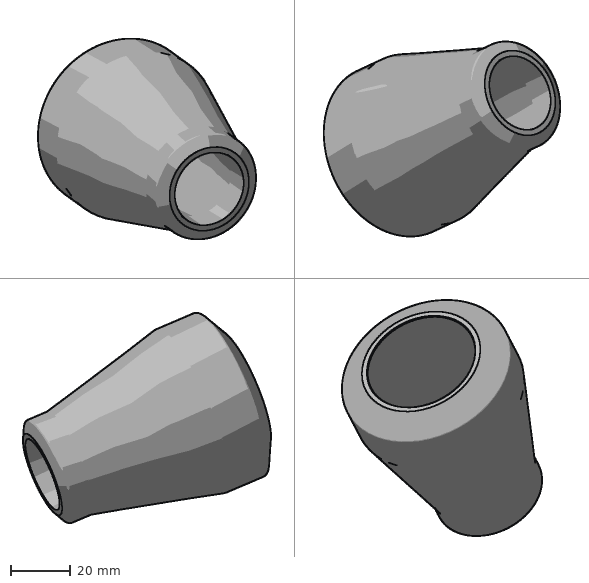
import cadquery as cq
import math

length = 76.0
large_end_length = 20.0
bore_taper_start = 12.2
small_end_length = 10.0
taper_end = length - small_end_length

large_radius = 60.3 / 2
small_radius = 38.0 / 2
large_bore_radius = 38.3 / 2
small_bore_radius = 26.0 / 2

land_width = 2.0
bevel_angle = math.radians(30)

edge_radius = 1.0

mouth_chamfer_depth = 0.4
mouth_chamfer_width = 0.2


def bevel_length(outer_radius, bore_radius):
    """Axial length of the bevel from the land to the outer cylinder."""
    return (outer_radius - bore_radius - land_width) * math.tan(bevel_angle)


def outer_body():
    """Solid reducer with a bevel at each end and rounded edges."""
    large_bevel = bevel_length(large_radius, large_bore_radius)
    small_bevel = bevel_length(small_radius, small_bore_radius)
    profile = (
        cq.Workplane("XY")
        .lineTo(0, large_bore_radius + land_width)
        .lineTo(large_bevel, large_radius)
        .lineTo(large_end_length, large_radius)
        .lineTo(taper_end, small_radius)
        .lineTo(length - small_bevel, small_radius)
        .lineTo(length, small_bore_radius + land_width)
        .lineTo(length, 0)
        .close()
    )
    body = profile.revolve(360, (0, 0, 0), (1, 0, 0))
    edges_to_round = cq.Workplane("XY")
    corners = (
        (large_bevel, large_radius),
        (large_end_length, large_radius),
        (taper_end, small_radius),
        (length - small_bevel, small_radius),
    )
    for x, radius in corners:
        around_corner = cq.selectors.BoxSelector(
            (x - edge_radius / 2, -2 * radius, -2 * radius),
            (x + edge_radius / 2, 2 * radius, 2 * radius),
        )
        edges_to_round = edges_to_round.add(body.edges("%CIRCLE").edges(around_corner).vals())
    return body.newObject(edges_to_round.vals()).fillet(edge_radius)


def bore():
    """Through passage: chamfered mouth and two straight bores joined by a cone."""
    profile = (
        cq.Workplane("XY")
        .lineTo(0, large_bore_radius + mouth_chamfer_width)
        .lineTo(mouth_chamfer_depth, large_bore_radius)
        .lineTo(bore_taper_start, large_bore_radius)
        .lineTo(taper_end, small_bore_radius)
        .lineTo(length, small_bore_radius)
        .lineTo(length, 0)
        .close()
    )
    return profile.revolve(360, (0, 0, 0), (1, 0, 0))


result = outer_body().cut(bore())